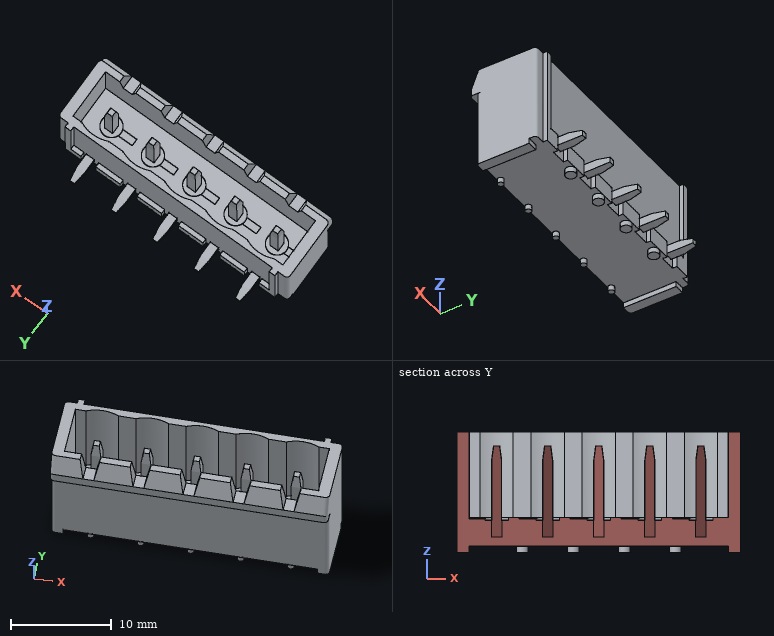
import cadquery as cq


pin_count = 5
pitch = 5.08
row_x = [(i - (pin_count - 1) / 2) * pitch for i in range(pin_count)]
between_x = [x + pitch / 2 for x in row_x[:-1]]

length = 28.2
height = 12.0
front_y = 0.8
back_y = 7.9
corner_radius = 0.42
lip_bottom_z = 9.02
lip_top_z = 10.0

cavity_length = 25.75
cavity_front_y = 1.52
cavity_back_y = 7.05
floor_z = 3.52
scallop_radius = 3.9
scallop_depth = 0.37

notch_top_width = 1.97
notch_bottom_width = 1.1

foot_height = 0.62
foot_width = 1.2
foot_back_y = 7.05

pad_back_y = 8.4
pad_gap = 2.05
end_pad_inner_x = 10.9
end_rib_width = 0.7

back_peg_diameter = 1.2
front_peg_diameter = 0.7
front_peg_y = front_y + front_peg_diameter / 2

pin_y = 4.3
pin_side = 1.02
tip_side = 0.62
tip_length = 1.47
pin_top_z = 10.63
tail_end_y = 11.0
tail_center_z = 2.1
pad_top_z = tail_center_z + pin_side / 2

recess_diameter = 2.3
recess_depth = 0.28
slot_width = 0.8
slot_reach = 2.82
slot_depth = 0.15


def block(x0, x1, y0, y1, z0, z1):
    """Box between two opposite corners."""
    return cq.Workplane("XY").box(x1 - x0, y1 - y0, z1 - z0, centered=False).translate((x0, y0, z0))


def make_shell():
    """Outer block with the sloped lip along the top of its front and rounded corners."""
    profile = [
        (front_y, 0),
        (back_y, 0),
        (back_y, height),
        (front_y, height),
        (0, lip_top_z),
        (0, lip_bottom_z),
        (front_y, lip_bottom_z),
    ]
    shell = cq.Workplane("YZ").polyline(profile).close().extrude(length / 2, both=True)
    return shell.edges("|Z or (not (|X or |Y))").fillet(corner_radius)


def make_cavity():
    """Open pocket with a shallow round scallop in its back wall behind every pin."""
    half = cavity_length / 2
    cavity = block(-half, half, cavity_front_y, cavity_back_y, floor_z, height)
    scallop_y = cavity_back_y + scallop_depth - scallop_radius
    for x in row_x:
        cylinder = cq.Workplane("XY", origin=(x, scallop_y, floor_z)).circle(scallop_radius)
        scallop = cylinder.extrude(height - floor_z)
        behind = block(x - pitch / 2, x + pitch / 2, pin_y, back_y, floor_z, height)
        cavity = cavity.union(scallop.intersect(behind))
    return cavity


def make_notch(x):
    """Tapered notch through the front wall, down to the top of the lip."""
    return (
        cq.Workplane("XZ", origin=(x, cavity_front_y, 0))
        .moveTo(-notch_bottom_width / 2, lip_top_z)
        .lineTo(notch_bottom_width / 2, lip_top_z)
        .lineTo(notch_top_width / 2, height)
        .lineTo(-notch_top_width / 2, height)
        .close()
        .extrude(cavity_front_y)
    )


def make_floor_recess(x):
    """Round recess around a pin, with a shallower slot on its left."""
    bore = (
        cq.Workplane("XY", origin=(x, pin_y, floor_z - recess_depth))
        .circle(recess_diameter / 2)
        .extrude(recess_depth)
    )
    slot_start = max(x - slot_reach, -cavity_length / 2)
    slot = block(slot_start, x, pin_y - slot_width / 2, pin_y + slot_width / 2, floor_z - slot_depth, floor_z)
    return bore.union(slot)


def make_underside():
    """Space under the housing that leaves one foot standing at each end."""
    half = length / 2
    between_feet = block(foot_width - half, half - foot_width, 0, back_y, 0, foot_height)
    behind_feet = block(-half, half, foot_back_y, back_y, 0, foot_height)
    return between_feet.union(behind_feet)


def make_back_pads():
    """Pads between the pin tails, and a full-height rib at each end of the row."""
    outer_x = cavity_length / 2
    half_pad = (pitch - pad_gap) / 2
    spans = [(x - half_pad, x + half_pad, pad_top_z) for x in between_x]
    spans += [(-outer_x, -end_pad_inner_x, pad_top_z), (end_pad_inner_x, outer_x, pad_top_z)]
    spans += [(-outer_x, end_rib_width - outer_x, height), (outer_x - end_rib_width, outer_x, height)]
    pads = cq.Workplane("XY")
    for x0, x1, top_z in spans:
        pads = pads.union(block(x0, x1, cavity_back_y + scallop_depth, pad_back_y, foot_height, top_z))
    return pads


def make_pegs():
    """Large pegs at the back between the pins, and small ones at the front in line with the pins."""
    back_points = [(x, pad_back_y - back_peg_diameter / 2) for x in between_x]
    front_points = [(x, front_peg_y) for x in row_x]
    back_pegs = cq.Workplane("XY").pushPoints(back_points).circle(back_peg_diameter / 2)
    front_pegs = cq.Workplane("XY").pushPoints(front_points).circle(front_peg_diameter / 2)
    return back_pegs.extrude(foot_height).union(front_pegs.extrude(foot_height))


def make_tip(plane):
    """Square taper at the end of a pin, rising from the given plane."""
    return cq.Workplane(plane).rect(pin_side, pin_side).workplane(offset=tip_length).rect(tip_side, tip_side).loft()


def make_pin(x):
    """Square pin bent at a right angle: contact upwards, solder tail backwards, both ends tapered."""
    half = pin_side / 2
    contact_end_z = pin_top_z - tip_length
    tail_straight_y = tail_end_y - tip_length
    tail_z0 = tail_center_z - half
    tail_z1 = tail_center_z + half
    contact = block(x - half, x + half, pin_y - half, pin_y + half, tail_z0, contact_end_z)
    tail = block(x - half, x + half, pin_y - half, tail_straight_y, tail_z0, tail_z1)
    contact_tip = make_tip(cq.Plane((x, pin_y, contact_end_z)))
    tail_tip = make_tip(cq.Plane((x, tail_straight_y, tail_center_z), xDir=(1, 0, 0), normal=(0, 1, 0)))
    return contact.union(tail).union(contact_tip).union(tail_tip)


def make_housing(pins):
    """Housing with a matching passage for every pin."""
    housing = make_shell().cut(make_underside()).union(make_back_pads()).union(make_pegs())
    housing = housing.cut(make_cavity())
    for x, pin in zip(row_x, pins):
        housing = housing.cut(make_notch(x)).cut(make_floor_recess(x)).cut(pin)
    return housing


pins = [make_pin(x) for x in row_x]
housing = make_housing(pins)

result = cq.Compound.makeCompound([housing.val(), *[pin.val() for pin in pins]])